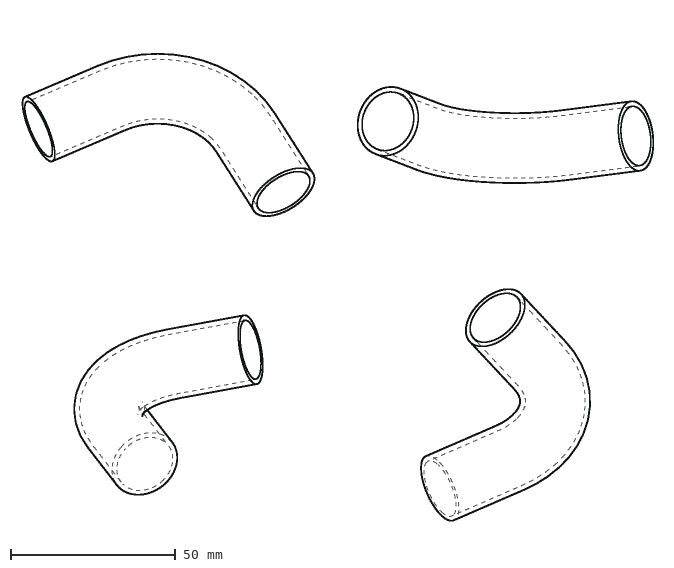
import cadquery as cq
import math

overall_length = 65.65
outer_diameter = 21.3
bore_diameter = 18.1
leg_length = 25.0

bend_radius = overall_length - outer_diameter / 2 - leg_length

leg_end = bend_radius + leg_length
bend_middle = bend_radius * (1 - math.sqrt(0.5))

centerline = (
    cq.Workplane("XY")
    .moveTo(0, -leg_end)
    .lineTo(0, -bend_radius)
    .threePointArc((bend_middle, -bend_middle), (bend_radius, 0))
    .lineTo(leg_end, 0)
)

result = (
    cq.Workplane("XZ", origin=(0, -leg_end, 0))
    .circle(outer_diameter / 2)
    .circle(bore_diameter / 2)
    .sweep(centerline)
)